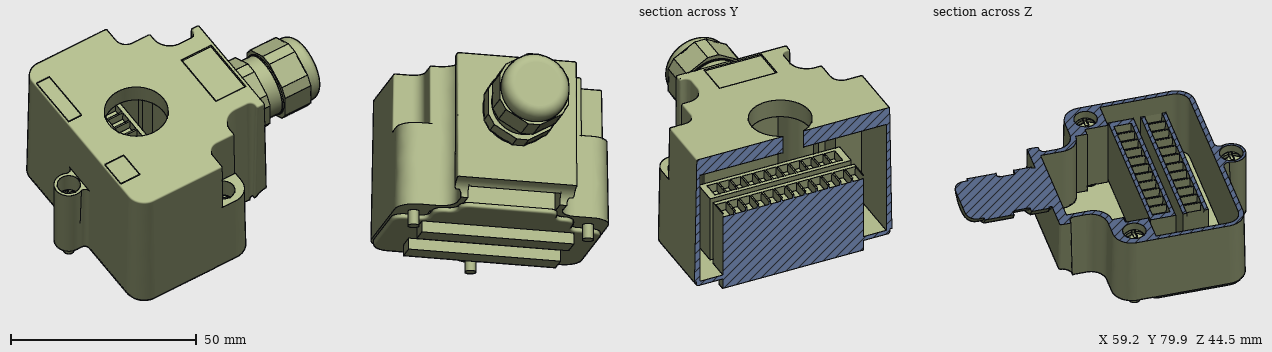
import cadquery as cq
import math


HOUSING_HEIGHT = 39.95
DRAFT_ANGLE = 1.0
WIDTH = 59.2
HALF_WIDTH = WIDTH / 2
HALF_DEPTH = 18.6
CORNER_RADIUS = 5.6
WAIST_HALF_WIDTH = 14.6
WAIST_FILLET = 4.3
FLANGE_HALF_WIDTH = 16.5
FLANGE_FRONT_Y = 27.4
FLANGE_REAR_Y = 31.3
FLANGE_FILLET = 0.95
FLANGE_FOOT_RADIUS = 4.4
EDGE_RADIUS = 0.5
EDGE_REACH = 0.8

TOP_THICKNESS = 5.4
SIDE_WALL = 1.8
REAR_WALL = 3.3
TOWER_INNER_X = 18.0
TOWER_STEP_X = 20.0
TOWER_STEP_Y = 13.6
TOWER_FRONT_Y = 7.2
OPENING_RADIUS = 8.6

LIP_HEIGHT = 1.4
LIP_INSET = 0.6
LIP_EDGE_RADIUS = 0.6
LIP_REAR_Y = 23.1
LIP_REAR_HALF_WIDTH = 13.6
LIP_MIDDLE_HALF_WIDTH = 19.6
LIP_MIDDLE_Y = 17.6
LIP_EAR_Y = 9.75
LIP_REAR_RADIUS = 2.7
LIP_STEP_RADIUS = 2.4
LIP_EAR_RADIUS = 3.2

LEDGE_Z = 23.3
EAR_SCREW_X = 24.2
EAR_SCREW_Y = 12.3
FRONT_SCREW_Y = -21.65
RECESS_RADIUS = 3.2
BOSS_RADIUS = 4.0
WEB_FLARE = 1.4
COUNTERBORE_RADIUS = 3.1
COUNTERBORE_DEPTH = 6.4
HEAD_RADIUS = 3.0
HEAD_RIM = 0.5
HEAD_HEIGHT = 2.4
SLOT_WIDTH = 1.0
CROSS_LENGTH = 3.1
CROSS_DEPTH = 1.4
PIN_RADIUS = 1.5
PIN_LENGTH = 4.15

BLOCK_LENGTH = 42.2
BLOCK_TOP_Z = 20.0
BLOCK_WIDTH = 7.2
REAR_BLOCK_Y = 3.35
FRONT_BLOCK_Y = -5.75
POCKET_PITCH = 3.5
POCKET_WIDTH = 3.0
POCKET_LENGTH = 4.8
POCKET_DEPTH = 2.4
POCKET_TAPER = 5.0
REAR_POCKETS = 11
FRONT_POCKETS = 12
FOOT_BOTTOM_Z = -4.55
FOOT_WIDTH = 5.8
FOOT_CENTRES_Y = (6.2, -8.6)

GLAND_Z = 24.4
GLAND_END_Y = 54.25
CAP_RADIUS = 9.3
CAP_ROUND = 2.95
NUT_END_Y = 49.85
NUT_START_Y = 41.6
COLLAR_START_Y = 41.2
COLLAR_RADIUS = 8.9
NECK_RADIUS = 8.6
BODY_HEX_END_Y = 36.8
BODY_HEX_START_Y = 31.7
WASHER_RADIUS = 9.6
HEX_ACROSS_FLATS = 19.0
HEX_ACROSS_CORNERS = 20.05

LABEL_DEPTH = 0.2
LABELS = (
    (0.0, 24.8, 17.25, 9.7, 45.0),
    (-15.0, -15.1, 16.0, 4.15, 0.0),
    (14.95, -14.15, 8.0, 6.1, 0.0),
)


def draft_at(height):
    """Inward shift of a drafted wall at a height above the rim."""
    return height * math.tan(math.radians(DRAFT_ANGLE))


def loft(lower, upper):
    """Ruled solid between two single-wire sketches."""
    return cq.Workplane(cq.Solid.makeLoft([lower.val(), upper.val()], True))


def both_sides(half):
    """Join a solid with its mirror image across X = 0."""
    return half.union(half.mirror("YZ"))


def half_outline(z):
    """Right half of the housing outline at height z, moved in by the draft.

    The ends of the rear flange stay upright.
    """
    inset = draft_at(z)
    side = HALF_WIDTH - inset
    depth = HALF_DEPTH - inset
    corner_x = HALF_WIDTH - CORNER_RADIUS
    corner_y = HALF_DEPTH - CORNER_RADIUS
    waist = WAIST_HALF_WIDTH - inset
    flange_front = FLANGE_FRONT_Y + inset
    flange_rear = FLANGE_REAR_Y - inset
    return (
        cq.Workplane("XY", origin=(0, 0, z))
        .moveTo(0, -depth)
        .lineTo(corner_x, -depth)
        .tangentArcPoint((side, -corner_y), relative=False)
        .lineTo(side, corner_y)
        .tangentArcPoint((corner_x, depth), relative=False)
        .lineTo(WAIST_HALF_WIDTH + WAIST_FILLET, depth)
        .tangentArcPoint((waist, HALF_DEPTH + WAIST_FILLET), relative=False)
        .lineTo(waist, FLANGE_FRONT_Y - FLANGE_FILLET)
        .tangentArcPoint((WAIST_HALF_WIDTH + FLANGE_FILLET, flange_front), relative=False)
        .lineTo(FLANGE_HALF_WIDTH, flange_front)
        .lineTo(FLANGE_HALF_WIDTH, flange_rear)
        .lineTo(0, flange_rear)
        .close()
    )


def ear_recess():
    """Open corner above the right ear ledge, rounded around the screw."""
    outside = HALF_WIDTH + CORNER_RADIUS
    return (
        cq.Workplane("XY", origin=(0, 0, LEDGE_Z))
        .moveTo(EAR_SCREW_X - RECESS_RADIUS, outside)
        .lineTo(EAR_SCREW_X - RECESS_RADIUS, EAR_SCREW_Y)
        .tangentArcPoint((EAR_SCREW_X, EAR_SCREW_Y - RECESS_RADIUS), relative=False)
        .lineTo(outside, EAR_SCREW_Y - RECESS_RADIUS)
        .lineTo(outside, outside)
        .close()
        .extrude(HOUSING_HEIGHT)
    )


def upright_edges_near(x, y):
    """Selector for the edges centred close to a plan point, between rim and top."""
    return cq.selectors.BoxSelector(
        (x - EDGE_REACH, y - EDGE_REACH, EDGE_REACH),
        (x + EDGE_REACH, y + EDGE_REACH, HOUSING_HEIGHT - EDGE_REACH),
    )


def housing_shell():
    """Drafted outer block with ear recesses and rounded sharp edges."""
    block = both_sides(loft(half_outline(0), half_outline(HOUSING_HEIGHT)))
    recess = ear_recess()
    block = block.cut(recess).cut(recess.mirror("YZ"))
    for side in (1, -1):
        for x, y in (
            (FLANGE_HALF_WIDTH, FLANGE_FRONT_Y),
            (FLANGE_HALF_WIDTH, FLANGE_REAR_Y),
            (EAR_SCREW_X - RECESS_RADIUS, HALF_DEPTH),
            (HALF_WIDTH, EAR_SCREW_Y - RECESS_RADIUS),
        ):
            block = block.edges(upright_edges_near(side * x, y)).fillet(EDGE_RADIUS)
    block = block.faces(">Z").edges().fillet(EDGE_RADIUS)
    foot_cut = (
        cq.Workplane("YZ", origin=(0, FLANGE_REAR_Y, 0))
        .circle(FLANGE_FOOT_RADIUS)
        .extrude(HALF_WIDTH, both=True)
    )
    return block.cut(foot_cut)


def web_outline(z):
    """Right half of the drafted web that joins the front boss to the wall."""
    inset = draft_at(z)
    wall_y = -HALF_DEPTH + inset
    side = BOSS_RADIUS - inset
    return (
        cq.Workplane("XY", origin=(0, 0, z))
        .moveTo(0, FRONT_SCREW_Y)
        .lineTo(side, FRONT_SCREW_Y)
        .lineTo(side, wall_y - WEB_FLARE)
        .tangentArcPoint((side + WEB_FLARE, wall_y), relative=False)
        .lineTo(side + WEB_FLARE, wall_y + SIDE_WALL / 2)
        .lineTo(0, wall_y + SIDE_WALL / 2)
        .close()
    )


def front_boss():
    """Upright round boss for the front screw with its web."""
    boss = cq.Workplane("XY", origin=(0, FRONT_SCREW_Y, 0)).circle(BOSS_RADIUS).extrude(LEDGE_Z)
    return boss.union(both_sides(loft(web_outline(0), web_outline(LEDGE_Z))))


def cavity():
    """Inside space, stepped around the ear towers and narrowed at the waist."""
    side = HALF_WIDTH - SIDE_WALL
    front_y = -HALF_DEPTH + SIDE_WALL
    rear_y = HALF_DEPTH - SIDE_WALL
    waist = WAIST_HALF_WIDTH - SIDE_WALL
    half = (
        cq.Workplane("XY")
        .moveTo(0, front_y)
        .lineTo(HALF_WIDTH - CORNER_RADIUS, front_y)
        .tangentArcPoint((side, CORNER_RADIUS - HALF_DEPTH), relative=False)
        .lineTo(side, TOWER_FRONT_Y)
        .lineTo(TOWER_STEP_X, TOWER_FRONT_Y)
        .lineTo(TOWER_STEP_X, TOWER_STEP_Y)
        .lineTo(TOWER_INNER_X, TOWER_STEP_Y)
        .lineTo(TOWER_INNER_X, rear_y)
        .radiusArc((waist, rear_y + TOWER_INNER_X - waist), TOWER_INNER_X - waist)
        .lineTo(waist, FLANGE_REAR_Y - REAR_WALL)
        .lineTo(0, FLANGE_REAR_Y - REAR_WALL)
        .close()
        .extrude(HOUSING_HEIGHT - TOP_THICKNESS)
    )
    return both_sides(half)


def base_lip():
    """Closing plate below the rim, stepped back around the ear screws."""
    side = HALF_WIDTH - LIP_INSET
    front_y = -HALF_DEPTH + LIP_INSET
    corner_x = HALF_WIDTH - CORNER_RADIUS
    corner_y = HALF_DEPTH - CORNER_RADIUS
    rear_turn_y = LIP_REAR_Y - LIP_REAR_RADIUS
    middle_turn_y = LIP_MIDDLE_Y - LIP_EAR_RADIUS
    half = (
        cq.Workplane("XY")
        .moveTo(0, front_y)
        .lineTo(corner_x, front_y)
        .tangentArcPoint((side, -corner_y), relative=False)
        .lineTo(side, LIP_EAR_Y - LIP_EAR_RADIUS)
        .tangentArcPoint((side - LIP_EAR_RADIUS, LIP_EAR_Y), relative=False)
        .lineTo(LIP_MIDDLE_HALF_WIDTH + LIP_STEP_RADIUS, LIP_EAR_Y)
        .tangentArcPoint((LIP_MIDDLE_HALF_WIDTH, LIP_EAR_Y + LIP_STEP_RADIUS), relative=False)
        .lineTo(LIP_MIDDLE_HALF_WIDTH, middle_turn_y)
        .tangentArcPoint((LIP_MIDDLE_HALF_WIDTH - LIP_EAR_RADIUS, LIP_MIDDLE_Y), relative=False)
        .lineTo(LIP_REAR_HALF_WIDTH + LIP_STEP_RADIUS, LIP_MIDDLE_Y)
        .tangentArcPoint((LIP_REAR_HALF_WIDTH, LIP_MIDDLE_Y + LIP_STEP_RADIUS), relative=False)
        .lineTo(LIP_REAR_HALF_WIDTH, rear_turn_y)
        .tangentArcPoint((LIP_REAR_HALF_WIDTH - LIP_REAR_RADIUS, LIP_REAR_Y), relative=False)
        .lineTo(0, LIP_REAR_Y)
        .close()
        .extrude(-LIP_HEIGHT)
    )
    return both_sides(half).faces("<Z").edges().fillet(LIP_EDGE_RADIUS)


def terminal_block(centre_y, pocket_count):
    """Block with a row of tapered pockets in its top."""
    return (
        cq.Workplane("XY", origin=(0, centre_y, 0))
        .rect(BLOCK_LENGTH, BLOCK_WIDTH)
        .extrude(BLOCK_TOP_Z)
        .faces(">Z")
        .workplane()
        .rarray(POCKET_PITCH, 0.8, pocket_count, 1)
        .rect(POCKET_WIDTH, POCKET_LENGTH)
        .cutBlind(-POCKET_DEPTH, taper=POCKET_TAPER)
    )


def foot(centre_y):
    """Bar under the base lip."""
    return (
        cq.Workplane("XY", origin=(0, centre_y, FOOT_BOTTOM_Z))
        .rect(BLOCK_LENGTH, FOOT_WIDTH)
        .extrude(-FOOT_BOTTOM_Z)
    )


def screw():
    """Domed, slotted screw head on the counterbore floor, with a pin down past the rim."""
    floor_z = LEDGE_Z - COUNTERBORE_DEPTH
    top_z = floor_z + HEAD_HEIGHT
    dome_rise = HEAD_HEIGHT - HEAD_RIM
    dome_radius = (HEAD_RADIUS**2 + dome_rise**2) / (2 * dome_rise)
    head = (
        cq.Workplane("XZ")
        .moveTo(0, floor_z)
        .lineTo(HEAD_RADIUS, floor_z)
        .lineTo(HEAD_RADIUS, floor_z + HEAD_RIM)
        .radiusArc((0, top_z), -dome_radius)
        .close()
        .revolve(360, (0, 0, 0), (0, 1, 0))
    )
    driver = cq.Workplane("XY", origin=(0, 0, top_z))
    slot = driver.rect(SLOT_WIDTH, 2 * HEAD_RADIUS).extrude(-CROSS_DEPTH)
    cross = driver.rect(CROSS_LENGTH, SLOT_WIDTH).extrude(-CROSS_DEPTH)
    pin = cq.Workplane("XY", origin=(0, 0, -PIN_LENGTH)).circle(PIN_RADIUS).extrude(PIN_LENGTH + floor_z)
    return head.cut(slot).cut(cross).union(pin)


def gland_disc(start_y, end_y, radius):
    """Round section of the cable gland."""
    plane = cq.Workplane("XZ", origin=(0, start_y, GLAND_Z))
    return plane.circle(radius).extrude(start_y - end_y)


def gland_hex(start_y, end_y):
    """Hexagon with two side flats and its six corners cut off flat."""
    to_circumscribed = 1 / math.cos(math.pi / 6)
    plane = cq.Workplane("XZ", origin=(0, start_y, GLAND_Z))
    length = start_y - end_y
    corner_cut = plane.polygon(6, HEX_ACROSS_CORNERS * to_circumscribed).extrude(length)
    flats = (
        plane.transformed(rotate=(0, 0, 30))
        .polygon(6, HEX_ACROSS_FLATS * to_circumscribed)
        .extrude(length)
    )
    return flats.intersect(corner_cut)


def cable_gland():
    """Washer, body hexagon, neck, nut and domed cap along Y."""
    wall_y = FLANGE_REAR_Y - REAR_WALL / 2
    cap = gland_disc(NUT_END_Y, GLAND_END_Y, CAP_RADIUS).faces(">Y").edges().fillet(CAP_ROUND)
    return (
        gland_disc(wall_y, BODY_HEX_START_Y, WASHER_RADIUS)
        .union(gland_hex(BODY_HEX_START_Y, BODY_HEX_END_Y))
        .union(gland_disc(BODY_HEX_END_Y, NUT_START_Y, NECK_RADIUS))
        .union(gland_disc(COLLAR_START_Y, NUT_START_Y, COLLAR_RADIUS))
        .union(gland_hex(NUT_START_Y, NUT_END_Y))
        .union(cap)
    )


result = housing_shell()
result = result.union(front_boss())
result = result.cut(cavity()).union(base_lip())

top_plane = cq.Workplane("XY", origin=(0, 0, HOUSING_HEIGHT))
result = result.cut(top_plane.circle(OPENING_RADIUS).extrude(-TOP_THICKNESS))
for centre_x, centre_y, length, width, slope in LABELS:
    label = top_plane.center(centre_x, centre_y).rect(length, width).extrude(-LABEL_DEPTH, taper=slope)
    result = result.cut(label)

for screw_x, screw_y in (
    (EAR_SCREW_X, EAR_SCREW_Y),
    (-EAR_SCREW_X, EAR_SCREW_Y),
    (0, FRONT_SCREW_Y),
):
    counterbore = (
        cq.Workplane("XY", origin=(screw_x, screw_y, LEDGE_Z))
        .circle(COUNTERBORE_RADIUS)
        .extrude(-COUNTERBORE_DEPTH)
    )
    result = result.cut(counterbore).union(screw().translate((screw_x, screw_y, 0)))

result = result.union(terminal_block(REAR_BLOCK_Y, REAR_POCKETS))
result = result.union(terminal_block(FRONT_BLOCK_Y, FRONT_POCKETS))
for foot_y in FOOT_CENTRES_Y:
    result = result.union(foot(foot_y))

result = result.union(cable_gland())